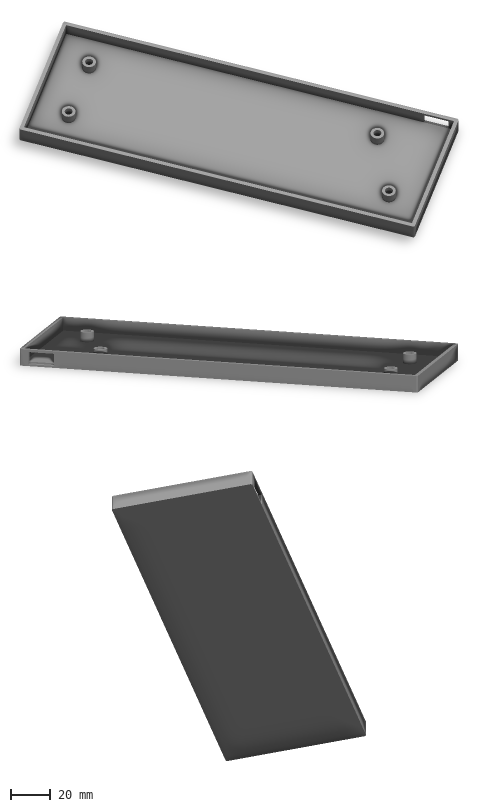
import cadquery as cq

LENGTH = 210.0
WIDTH = 74.0
HEIGHT = 8.6
CORNER_RADIUS = 1.0

WALL_THICKNESS = 2.0
CAVITY_LENGTH = LENGTH - 2 * WALL_THICKNESS
CAVITY_WIDTH = WIDTH - 2 * WALL_THICKNESS

FLANGE_THICKNESS = 1.0
FLOOR_RISE = 0.8
FLOOR_CLEARANCE = 0.1
FLOOR_TOP = FLANGE_THICKNESS + FLOOR_RISE
WALL_HEIGHT = HEIGHT - FLANGE_THICKNESS

WINDOW_LENGTH = 13.5
WINDOW_HEIGHT = 6.3
WINDOW_CENTER_X = 93.5

STANDOFF_DIAMETER = 7.0
STANDOFF_BORE = 4.0
STANDOFF_HEIGHT = 5.0
STANDOFF_X = 85.0
STANDOFF_INSET_X = 68.0
STANDOFF_Y = 17.0
STANDOFF_POSITIONS = [
    (-STANDOFF_X, -STANDOFF_Y),
    (-STANDOFF_X, STANDOFF_Y),
    (STANDOFF_X, -STANDOFF_Y),
    (STANDOFF_INSET_X, STANDOFF_Y),
]


def slab(length, width, bottom, thickness):
    """Centred rectangular slab whose underside is at the given height."""
    return cq.Workplane("XY", origin=(0, 0, bottom)).rect(length, width).extrude(thickness)


def rounded_slab(bottom, thickness):
    """Full-size slab with rounded vertical corners."""
    return slab(LENGTH, WIDTH, bottom, thickness).edges("|Z").fillet(CORNER_RADIUS)


def make_base_plate():
    """Flange under the wall, with the raised floor that fits inside the wall."""
    raised_length = CAVITY_LENGTH - 2 * FLOOR_CLEARANCE
    raised_width = CAVITY_WIDTH - 2 * FLOOR_CLEARANCE
    raised_floor = slab(raised_length, raised_width, FLANGE_THICKNESS, FLOOR_RISE)
    return rounded_slab(0, FLANGE_THICKNESS).union(raised_floor)


def make_wall_frame():
    """Rectangular wall standing on the flange, with one window in the +Y side."""
    cavity = slab(CAVITY_LENGTH, CAVITY_WIDTH, FLANGE_THICKNESS, WALL_HEIGHT)
    window = slab(WINDOW_LENGTH, 2 * WALL_THICKNESS, FLANGE_THICKNESS, WINDOW_HEIGHT)
    window = window.translate((WINDOW_CENTER_X, WIDTH / 2, 0))
    return rounded_slab(FLANGE_THICKNESS, WALL_HEIGHT).cut(cavity).cut(window)


def make_standoff(x, y):
    """Tube standing on the floor at the given place."""
    return (
        cq.Workplane("XY", origin=(x, y, FLOOR_TOP))
        .circle(STANDOFF_DIAMETER / 2)
        .circle(STANDOFF_BORE / 2)
        .extrude(STANDOFF_HEIGHT)
    )


base_plate = make_base_plate()
wall_frame = make_wall_frame()
standoffs = [make_standoff(x, y) for x, y in STANDOFF_POSITIONS]

result = cq.Compound.makeCompound(
    [base_plate.val(), wall_frame.val(), *[standoff.val() for standoff in standoffs]]
)